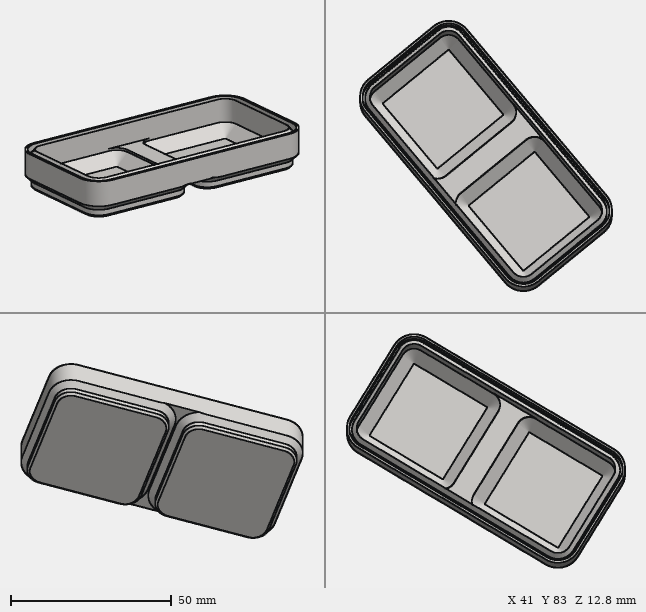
import math

import cadquery as cq

pitch = 42.0
foot_count = 2
foot_size = 41.5
foot_corner_radius = 7.5
foot_lower_chamfer = 0.8
foot_wall_height = 1.8
foot_upper_chamfer = 2.15
foot_flare_bottom = foot_lower_chamfer + foot_wall_height
foot_height = foot_flare_bottom + foot_upper_chamfer

body_gap = 1.0
body_width = pitch - body_gap
body_length = foot_count * pitch - body_gap
body_top = 12.75
body_corner_radius = foot_corner_radius - (foot_size - body_width) / 2

wall_thickness = 3.1
floor_thickness = 1.0
pocket_size = body_width - 2 * wall_thickness
pocket_corner_radius = body_corner_radius - wall_thickness
pocket_slope = 4.0
pocket_floor_radius = pocket_corner_radius - pocket_slope
pocket_floor_size = pocket_size - 2 * pocket_slope
slope_top = floor_thickness + pocket_slope
bridge_level = foot_height + floor_thickness

rim_thickness = 0.8
groove_floor_width = 0.8
groove_slope_height = 1.8
groove_depth = 3.6

foot_centres = [(i - (foot_count - 1) / 2) * pitch for i in range(foot_count)]


def rounded_block(width, length, radius, bottom, top, spread=0.0):
    """Block with rounded upright corners whose outline grows by spread on each side on the way up."""
    height = top - bottom
    outline = cq.Sketch().rect(width, length).vertices().fillet(radius)
    block = cq.Workplane("XY", origin=(0, 0, bottom)).placeSketch(outline)
    return block.extrude(height, taper=-math.degrees(math.atan2(spread, height)))


def body_block(inset, bottom, top, spread=0.0):
    """Block with the body outline moved inwards by inset."""
    width = body_width - 2 * inset
    length = body_length - 2 * inset
    return rounded_block(width, length, body_corner_radius - inset, bottom, top, spread)


def foot_block(inset, bottom, top, spread=0.0):
    """Block with the outline of one foot moved inwards by inset."""
    size = foot_size - 2 * inset
    return rounded_block(size, size, foot_corner_radius - inset, bottom, top, spread)


def make_foot():
    """Stepped foot: lower chamfer, upright wall, then a flare to the full foot size."""
    wall_inset = foot_upper_chamfer
    tip_inset = wall_inset + foot_lower_chamfer
    tip = foot_block(tip_inset, 0, foot_lower_chamfer, spread=foot_lower_chamfer)
    wall = foot_block(wall_inset, foot_lower_chamfer, foot_flare_bottom)
    flare = foot_block(wall_inset, foot_flare_bottom, foot_height, spread=foot_upper_chamfer)
    return tip.union(wall).union(flare)


def make_pocket():
    """Square pocket with 45 degree sides, conical corners and an upright band up to the bridge."""
    slope = rounded_block(
        pocket_floor_size,
        pocket_floor_size,
        pocket_floor_radius,
        floor_thickness,
        slope_top,
        spread=pocket_slope,
    )
    band = rounded_block(pocket_size, pocket_size, pocket_corner_radius, slope_top, bridge_level)
    return slope.union(band)


def make_body():
    """Tray body standing on its feet, which are trimmed to the body outline."""
    feet = make_foot().translate((0, foot_centres[0], 0))
    for centre in foot_centres[1:]:
        feet = feet.union(make_foot().translate((0, centre, 0)))
    feet = feet.intersect(body_block(0, 0, foot_height))
    return feet.union(body_block(0, foot_height, body_top))


def make_rim_groove():
    """Ring-shaped groove between the thin outer rim and the sloping back of the inner wall."""
    groove_bottom = body_top - groove_depth
    slope_bottom = body_top - groove_slope_height
    core_inset = rim_thickness + groove_floor_width
    core_narrowing = wall_thickness - core_inset
    core = body_block(core_inset, groove_bottom, slope_bottom)
    core = core.union(body_block(core_inset, slope_bottom, body_top, spread=-core_narrowing))
    return body_block(rim_thickness, groove_bottom, body_top).cut(core)


result = make_body().cut(make_rim_groove())
result = result.cut(body_block(wall_thickness, bridge_level, body_top))
for foot_centre in foot_centres:
    result = result.cut(make_pocket().translate((0, foot_centre, 0)))